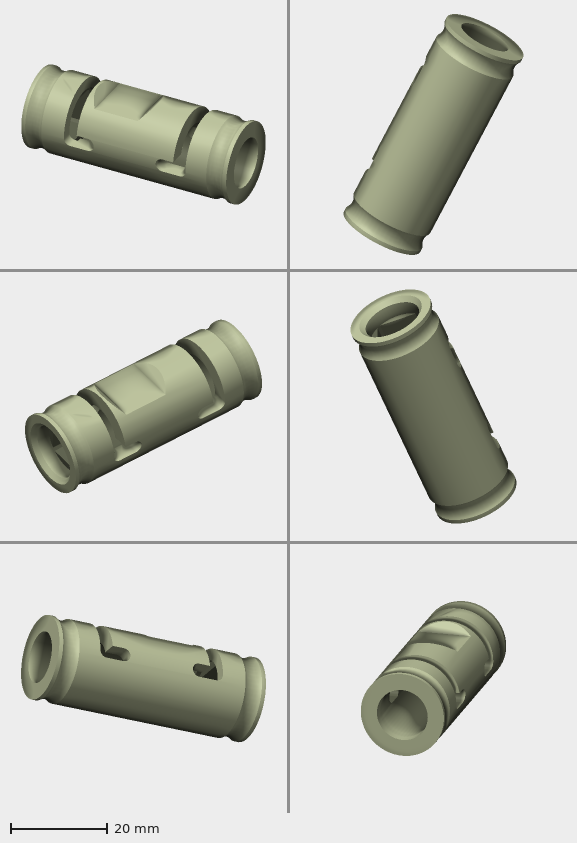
import cadquery as cq

length = 48.0
outer_diameter = 18.0
outer_radius = outer_diameter / 2
bore_diameter = 11.0
clearance = 0.5

rim_width = 0.9
groove_width = 3.8
groove_depth = 0.6

mouth_diameter = 14.0
socket_diameter = 12.0
socket_depth = 4.0
square_size = 9.0
relief_diameter = 13.05
relief_start = 9.0
relief_end = 11.9

slot_height = 3.0
slot_width = 2.95
slot_reach = 6.95
left_slot_wall = 10.0
right_slot_wall = 38.45

flat_start = 15.5
flat_length = 10.05
flat_depth = 2.0


def disc(diameter, start, end):
    """Cylinder on the X axis between two positions."""
    return cq.Workplane("YZ", origin=(start, 0, 0)).circle(diameter / 2).extrude(end - start)


def make_body():
    """Revolved bar with an arc groove behind each end rim."""
    groove_end = rim_width + groove_width
    groove_middle = rim_width + groove_width / 2
    groove_radius = outer_radius - groove_depth
    return (
        cq.Workplane("XZ")
        .lineTo(0, outer_radius)
        .lineTo(rim_width, outer_radius)
        .threePointArc((groove_middle, groove_radius), (groove_end, outer_radius))
        .lineTo(length - groove_end, outer_radius)
        .threePointArc((length - groove_middle, groove_radius), (length - rim_width, outer_radius))
        .lineTo(length, outer_radius)
        .lineTo(length, 0)
        .close()
        .revolve(360, (0, 0, 0), (1, 0, 0))
    )


def make_mouth():
    """Round socket hole with a 45 degree lead-in, running up to the relief."""
    mouth_radius = mouth_diameter / 2
    socket_radius = socket_diameter / 2
    chamfer = mouth_radius - socket_radius
    return (
        cq.Workplane("XZ")
        .lineTo(0, mouth_radius)
        .lineTo(chamfer, socket_radius)
        .lineTo(relief_start, socket_radius)
        .lineTo(relief_start, 0)
        .close()
        .revolve(360, (0, 0, 0), (1, 0, 0))
    )


def make_drive_segments():
    """Four round segments that narrow the socket hole to a square drive with rounded corners."""
    drive_length = relief_start - socket_depth
    square = (
        cq.Workplane("YZ", origin=(socket_depth, 0, 0))
        .rect(square_size, square_size)
        .extrude(drive_length)
    )
    return disc(socket_diameter, socket_depth, relief_start).cut(square)


def make_slot(wall, direction):
    """Slot open at the top, turning toward the middle; direction is +1 or -1 along X."""
    half_height = slot_height / 2
    top = outer_radius + clearance
    inner_wall = wall + direction * slot_width
    tip = wall + direction * slot_reach
    tip_center = tip - direction * half_height
    corner_radius = half_height
    profile = (
        cq.Workplane("XZ")
        .moveTo(wall, top)
        .lineTo(inner_wall, top)
        .lineTo(inner_wall, half_height)
        .lineTo(tip_center, half_height)
        .threePointArc((tip, 0), (tip_center, -half_height))
        .lineTo(wall + direction * corner_radius, -half_height)
        .radiusArc((wall, corner_radius - half_height), corner_radius * direction)
        .close()
    )
    return profile.extrude(outer_radius + clearance, both=True)


def make_flat():
    """Trapezoidal notch across the top of the tube."""
    flat_end = flat_start + flat_length
    flat_height = outer_radius - flat_depth
    rise = flat_depth + clearance
    return (
        cq.Workplane("XZ")
        .moveTo(flat_start, flat_height)
        .lineTo(flat_end, flat_height)
        .lineTo(flat_end + rise, flat_height + rise)
        .lineTo(flat_start - rise, flat_height + rise)
        .close()
        .extrude(outer_radius + clearance, both=True)
    )


bore = disc(bore_diameter, relief_end, length)
relief = disc(relief_diameter, relief_start, relief_end)

result = (
    make_body()
    .cut(bore)
    .cut(relief)
    .cut(make_mouth())
    .union(make_drive_segments())
    .cut(make_slot(left_slot_wall, 1))
    .cut(make_slot(right_slot_wall, -1))
    .cut(make_flat())
)